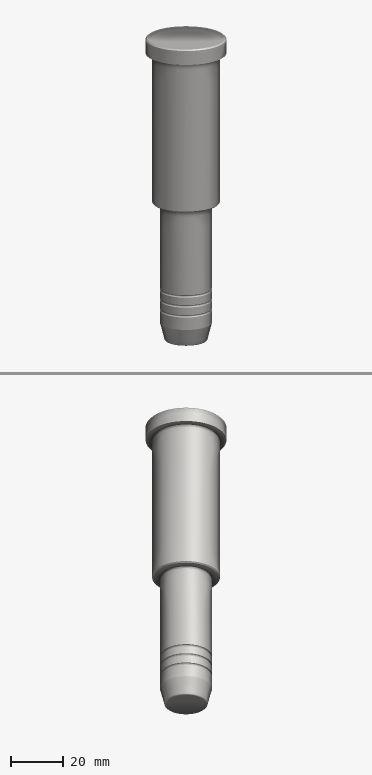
import cadquery as cq

total_length = 121.0
head_thickness = 6.0
body_length = 60.0
tip_length = 7.0
head_bottom = total_length - head_thickness
body_bottom = head_bottom - body_length

head_diameter = 31.0
body_diameter = 26.0
shank_diameter = 20.0
tip_diameter = 16.3

edge_chamfer = 0.5
tip_fillet = 0.6

undercut_width = 1.0
undercut_depth = 0.4
ring_groove_radius = 0.5
ring_groove_count = 3
ring_groove_pitch = 4.0
first_ring_groove_height = 20.5


def cylinder(diameter, bottom, top):
    """Solid cylinder on the Z axis between two heights."""
    return cq.Workplane("XY").workplane(offset=bottom).circle(diameter / 2).extrude(top - bottom)


def undercut(outer_diameter, top):
    """Square-sided ring to be cut from a cylinder, starting at its top height."""
    bottom = top - undercut_width
    core = cylinder(outer_diameter - 2 * undercut_depth, bottom, top)
    return cylinder(outer_diameter, bottom, top).cut(core)


def ring_groove(height):
    """Torus that cuts a half-round groove into the shank, centred at a height."""
    return (
        cq.Workplane("XZ")
        .center(shank_diameter / 2, height)
        .circle(ring_groove_radius)
        .revolve(360, (-shank_diameter / 2, 0), (-shank_diameter / 2, 1))
    )


head = cylinder(head_diameter, head_bottom, total_length).faces(">Z").chamfer(edge_chamfer)

body = cylinder(body_diameter, body_bottom, head_bottom).faces("<Z").chamfer(edge_chamfer)
body = body.cut(undercut(body_diameter, head_bottom))

shank = cylinder(shank_diameter, tip_length, body_bottom)
shank = shank.cut(undercut(shank_diameter, body_bottom))
for index in range(ring_groove_count):
    groove_height = first_ring_groove_height - index * ring_groove_pitch
    shank = shank.cut(ring_groove(groove_height))

tip = (
    cq.Workplane("XY")
    .circle(tip_diameter / 2)
    .workplane(offset=tip_length)
    .circle(shank_diameter / 2)
    .loft(ruled=True)
    .faces("<Z")
    .edges()
    .fillet(tip_fillet)
)

result = head.union(body).union(shank).union(tip)